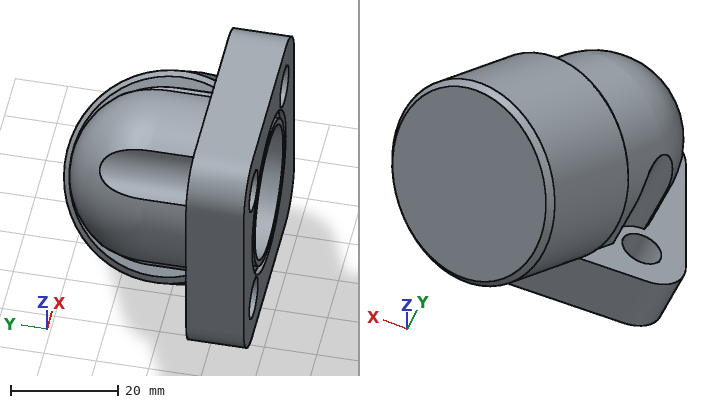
import cadquery as cq
import math

flange_side = 46.3
flange_thickness = 11.05
flange_corner_radius = 8.0

hole_diameter = 8.0
hole_spacing = 28.3
scallop_radius = 6.0

bore_diameter = 25.7
bore_depth = 10.0
seat_inner_diameter = 28.05
seat_outer_diameter = 31.2
seat_depth = 1.0

body_radius = 16.75
elbow_y = 21.0

collar_radius = 20.0
collar_start = 12.5
collar_end = 36.15
collar_chamfer = 1.2

half_pitch = hole_spacing / 2
hole_centers = [
    (-half_pitch, half_pitch),
    (half_pitch, half_pitch),
    (-half_pitch, -half_pitch),
]
outlet_angle = 45
outlet_direction = cq.Vector(
    math.cos(math.radians(outlet_angle)), 0, -math.sin(math.radians(outlet_angle))
)
elbow_center = cq.Vector(0, elbow_y, 0)


def cylinder_y(radius, y_start, y_end, x=0, z=0):
    """Cylinder parallel to the inlet axis."""
    start = cq.Vector(x, y_start, z)
    return cq.Workplane(cq.Solid.makeCylinder(radius, y_end - y_start, start, cq.Vector(0, 1, 0)))


def outlet_cylinder(radius, start, end):
    """Cylinder on the outlet axis between two distances from the elbow center."""
    base = elbow_center + outlet_direction * start
    return cq.Workplane(cq.Solid.makeCylinder(radius, end - start, base, outlet_direction))


def make_flange():
    return (
        cq.Workplane("XY")
        .box(flange_side, flange_thickness, flange_side)
        .translate((0, flange_thickness / 2, 0))
        .edges("|Y")
        .fillet(flange_corner_radius)
    )


def make_neck():
    """U-section outlet neck: a round back with flat sides running down to the flange."""
    web_height = elbow_y - flange_thickness
    web = (
        cq.Workplane("XY")
        .box(collar_start, web_height, 2 * body_radius)
        .translate((collar_start / 2, flange_thickness + web_height / 2, 0))
        .rotate((0, 0, 0), (0, 1, 0), outlet_angle)
    )
    return outlet_cylinder(body_radius, 0, collar_start).union(web)


def make_body():
    """Inlet barrel, spherical corner and outlet neck, relieved beside the bolt holes."""
    barrel = cylinder_y(body_radius, 0, elbow_y)
    corner = cq.Workplane("XY").sphere(body_radius).translate(elbow_center.toTuple())
    body = barrel.union(corner).union(make_neck())
    for x, z in hole_centers:
        body = body.cut(cylinder_y(scallop_radius, 0, elbow_y + body_radius, x, z))
    return body


def make_collar():
    return outlet_cylinder(collar_radius, collar_start, collar_end).edges().chamfer(collar_chamfer)


result = make_body().union(make_collar()).union(make_flange())

for x, z in hole_centers:
    result = result.cut(cylinder_y(hole_diameter / 2, 0, flange_thickness, x, z))

result = result.cut(cylinder_y(bore_diameter / 2, 0, bore_depth))

ring = cylinder_y(seat_outer_diameter / 2, 0, seat_depth)
result = result.cut(ring.cut(cylinder_y(seat_inner_diameter / 2, 0, seat_depth)))